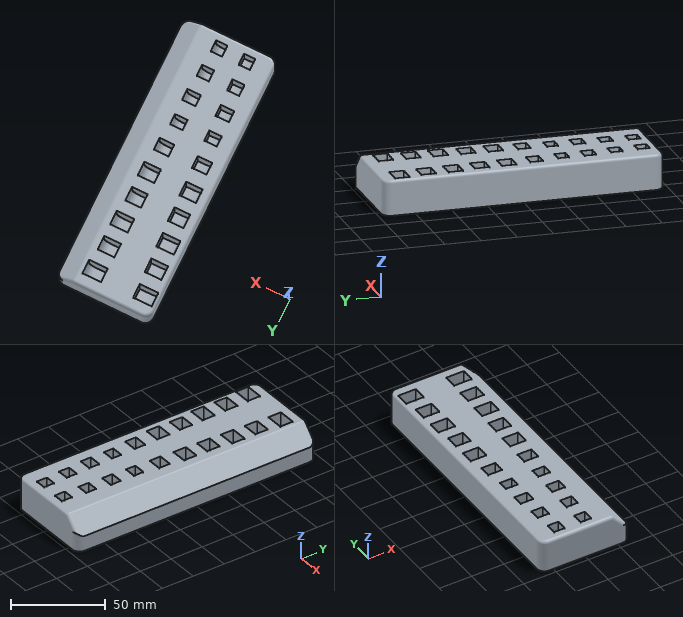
import cadquery as cq

WIDTH = 55.0
LENGTH = 155.0
HEIGHT = 20.0
SLOPE_RUN = 10.0
SLOPE_DROP = 10.5
CORNER_RADIUS = 5.0
EDGE_RADIUS = 2.0

POCKET_DEPTH = 15.0
POCKET_RADIUS = 5.0
END_WALL = 5.0
FIRST_GAP = 9.8
GAP_STEP = 1.0
ROWS = [
    (23.0, 6.5),
    (24.8, 6.5),
    (27.5, 6.5),
    (27.5, 6.0),
    (30.8, 7.0),
    (34.1, 8.0),
    (34.1, 8.0),
    (37.4, 8.0),
    (37.4, 8.0),
    (40.6, 8.0),
]

FLAT_WIDTH = WIDTH - SLOPE_RUN
PAIR_CENTRE = FLAT_WIDTH / 2
ROW_PITCH = (LENGTH - END_WALL) / len(ROWS)


def make_block():
    """Sloped block with rounded top edges and rounded vertical corners."""
    block = (
        cq.Workplane("XZ")
        .moveTo(0, 0)
        .lineTo(WIDTH, 0)
        .lineTo(WIDTH, HEIGHT - SLOPE_DROP)
        .lineTo(FLAT_WIDTH, HEIGHT)
        .lineTo(0, HEIGHT)
        .close()
        .extrude(-LENGTH)
    )
    block = block.edges("|Z and <X").fillet(CORNER_RADIUS)
    slope_ends = block.faces("<Y or >Y").edges("not(|X or |Z)")
    rounded_edges = block.faces(">Z").edges().add(slope_ends)
    block = rounded_edges.fillet(EDGE_RADIUS)

    envelope = (
        cq.Workplane("XY")
        .rect(WIDTH, LENGTH)
        .extrude(HEIGHT)
        .edges("|Z and >X")
        .fillet(CORNER_RADIUS)
        .translate((WIDTH / 2, LENGTH / 2, 0))
    )
    return block.intersect(envelope)


def make_pocket(width, length):
    """Pocket body on the +X side of the origin, its rounded bottom edge facing +X."""
    pocket = cq.Workplane("XY").box(width, length, POCKET_DEPTH, centered=False)
    return pocket.edges("|Y and >X and <Z").fillet(POCKET_RADIUS)


result = make_block()
for row, (span, pocket_length) in enumerate(ROWS):
    gap = FIRST_GAP + row * GAP_STEP
    pocket = make_pocket((span - gap) / 2, pocket_length).translate((gap / 2, 0, 0))
    pair = pocket.union(pocket.mirror("YZ"))
    row_start = END_WALL + row * ROW_PITCH
    result = result.cut(pair.translate((PAIR_CENTRE, row_start, HEIGHT - POCKET_DEPTH)))

result = result.translate((-WIDTH / 2, -LENGTH / 2, 0))